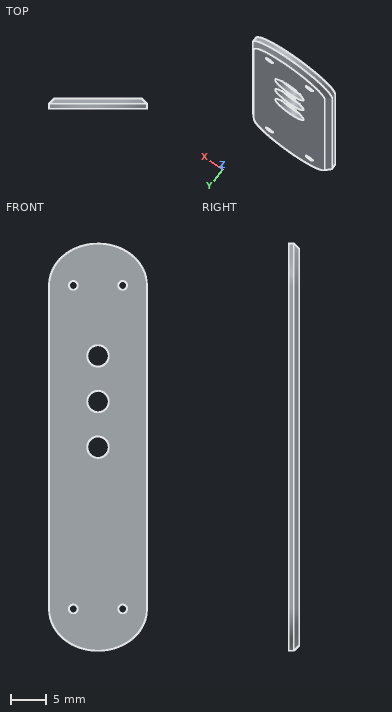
import cadquery as cq

length = 58.0
width = 14.0
thickness = 1.5
end_height = 6.0
back_chamfer = 0.75

screw_diameter = 1.2
screw_spacing_x = 7.0
straight_length = length - 2 * end_height

row_diameter = 3.0
row_pitch = 6.5
row_count = 3
counterbore_diameter = 5.0
counterbore_depth = 0.75

half_width = width / 2
half_straight = straight_length / 2


def end_ellipse(direction):
    """Elliptical disc whose outer half forms one end of the plate (+1 top, -1 bottom)."""
    return (
        cq.Workplane("XZ")
        .center(0, direction * half_straight)
        .ellipse(half_width, end_height)
        .extrude(-thickness)
    )


def make_plate():
    """Plate from Y = 0 (front) to Y = thickness, with its back rim chamfered."""
    plate = cq.Workplane("XZ").rect(width, straight_length).extrude(-thickness)
    for direction in (1, -1):
        plate = plate.union(end_ellipse(direction))
    return plate.faces(">Y").edges().chamfer(back_chamfer)


def cylinders(points, diameter, start_y, depth):
    """Cylinders at the given (x, z) points, running toward +Y from start_y."""
    return (
        cq.Workplane("XZ", origin=(0, start_y, 0))
        .pushPoints(points)
        .circle(diameter / 2)
        .extrude(-depth)
    )


screw_points = [
    (side * screw_spacing_x / 2, direction * half_straight)
    for side in (-1, 1)
    for direction in (-1, 1)
]
row_points = [(0, index * row_pitch) for index in range(row_count)]

screw_holes = cylinders(screw_points, screw_diameter, 0, thickness)
row_holes = cylinders(row_points, row_diameter, 0, thickness)

counterbores = cylinders(
    row_points, counterbore_diameter, thickness - counterbore_depth, counterbore_depth
)

result = make_plate().cut(screw_holes).cut(row_holes).cut(counterbores)